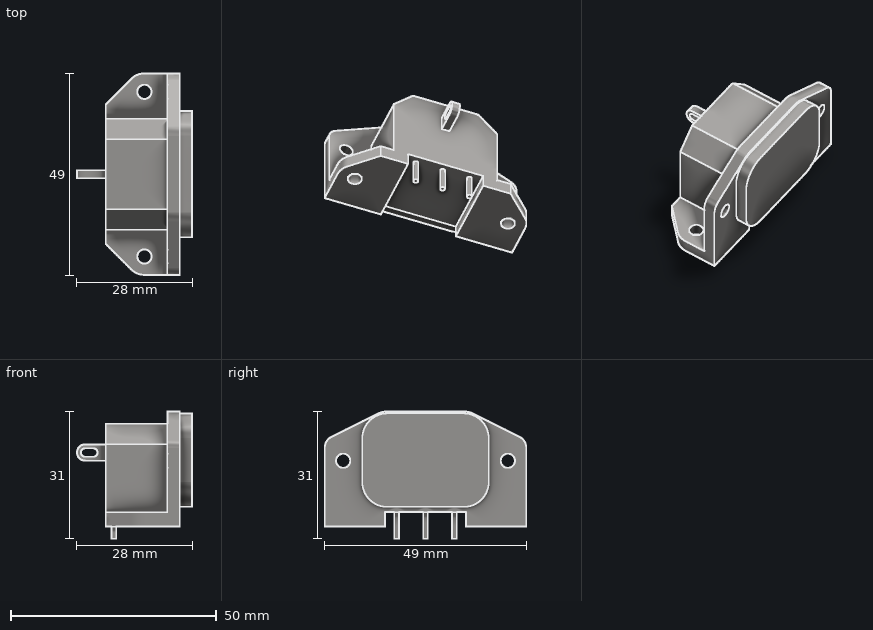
import cadquery as cq
import math


body_depth = 15.0
body_width = 27.0
body_bottom = 3.5
body_top = 25.0
body_chamfer = 5.0

flange_thickness = 3.0
flange_width = 49.0
flange_top = 28.0
flange_top_width = 21.0
flange_shoulder_z = 21.0
flange_shoulder_radius = 3.0
flange_top_radius = 5.0

screw_diameter = 3.4
screw_spacing = 40.0
flange_screw_z = 16.0
foot_screw_x = 9.4

foot_gap_width = 19.6

rim_depth = 3.0
rim_width = 30.7
rim_bottom = 4.8
rim_top = 27.5
rim_radius = 6.0

tab_length = 7.0
tab_height = 4.0
tab_thickness = 2.0
tab_z = 18.0
tab_slot_length = 4.0
tab_slot_width = 2.0
tab_slot_x = -4.0

pin_diameter = 1.2
pin_spacing = 7.0
pin_x = 2.0
pin_length_below_feet = 3.0

flange_front_x = body_depth + flange_thickness
half_flange = flange_width / 2
half_screw_spacing = screw_spacing / 2


def make_body():
    block = cq.Workplane("XY").box(
        body_depth, body_width, body_top - body_bottom, centered=(False, True, False)
    )
    block = block.edges("|X and >Z").chamfer(body_chamfer)
    return block.translate((0, 0, body_bottom))


def make_flange():
    half_top = flange_top_width / 2
    plate = (
        cq.Workplane("YZ")
        .workplane(offset=body_depth)
        .moveTo(-half_flange, 0)
        .lineTo(half_flange, 0)
        .lineTo(half_flange, flange_shoulder_z)
        .lineTo(half_top, flange_top)
        .lineTo(-half_top, flange_top)
        .lineTo(-half_flange, flange_shoulder_z)
        .close()
        .extrude(flange_thickness)
    )
    plate = plate.edges("|X and >Z").fillet(flange_top_radius)
    selection_margin = 1.0
    shoulders = cq.selectors.BoxSelector(
        (body_depth, -flange_width, flange_shoulder_z - selection_margin),
        (flange_front_x, flange_width, flange_shoulder_z + selection_margin),
    )
    return plate.edges("|X").edges(shoulders).fillet(flange_shoulder_radius)


def make_feet():
    radius = half_flange - half_screw_spacing
    diagonal_angle = math.radians(45)
    diagonal = radius * math.sin(diagonal_angle)
    tangent_x = foot_screw_x - diagonal
    tangent_y = half_screw_spacing + diagonal
    rear_y = tangent_y - tangent_x
    arc_mid_angle = diagonal_angle / 2
    arc_mid_x = foot_screw_x - radius * math.sin(arc_mid_angle)
    arc_mid_y = half_screw_spacing + radius * math.cos(arc_mid_angle)
    half_gap = foot_gap_width / 2
    foot = (
        cq.Workplane("XY")
        .moveTo(0, half_gap)
        .lineTo(0, rear_y)
        .lineTo(tangent_x, tangent_y)
        .threePointArc((arc_mid_x, arc_mid_y), (foot_screw_x, half_flange))
        .lineTo(flange_front_x, half_flange)
        .lineTo(flange_front_x, half_gap)
        .close()
        .extrude(body_bottom)
    )
    return foot.union(foot.mirror("XZ"))


def make_rim():
    rim = cq.Workplane("XY").box(
        rim_depth, rim_width, rim_top - rim_bottom, centered=(False, True, False)
    )
    return rim.edges("|X").fillet(rim_radius).translate((flange_front_x, 0, rim_bottom))


def make_tab():
    end_radius = tab_height / 2
    end_center_x = end_radius - tab_length
    profile = (
        cq.Workplane("XZ")
        .moveTo(0, tab_z - end_radius)
        .lineTo(end_center_x, tab_z - end_radius)
        .threePointArc((-tab_length, tab_z), (end_center_x, tab_z + end_radius))
        .lineTo(0, tab_z + end_radius)
        .close()
    )
    slot = (
        cq.Workplane("XZ")
        .center(tab_slot_x, tab_z)
        .slot2D(tab_slot_length, tab_slot_width)
        .extrude(tab_thickness, both=True)
    )
    return profile.extrude(tab_thickness / 2, both=True).cut(slot)


def make_pins():
    return (
        cq.Workplane("XY")
        .workplane(offset=-pin_length_below_feet)
        .pushPoints([(pin_x, row * pin_spacing) for row in (-1, 0, 1)])
        .circle(pin_diameter / 2)
        .extrude(pin_length_below_feet + body_bottom)
    )


def make_foot_gap():
    return cq.Workplane("XY").box(
        flange_front_x, foot_gap_width, body_bottom, centered=(False, True, False)
    )


def make_screw_holes():
    flange_holes = (
        cq.Workplane("YZ")
        .workplane(offset=body_depth)
        .pushPoints([(side * half_screw_spacing, flange_screw_z) for side in (-1, 1)])
        .circle(screw_diameter / 2)
        .extrude(flange_thickness)
    )
    foot_holes = (
        cq.Workplane("XY")
        .pushPoints([(foot_screw_x, side * half_screw_spacing) for side in (-1, 1)])
        .circle(screw_diameter / 2)
        .extrude(body_bottom)
    )
    return flange_holes.union(foot_holes)


housing = make_flange().cut(make_foot_gap())
housing = housing.union(make_body()).union(make_feet()).union(make_rim())
housing = housing.cut(make_screw_holes())
result = housing.union(make_tab()).union(make_pins())